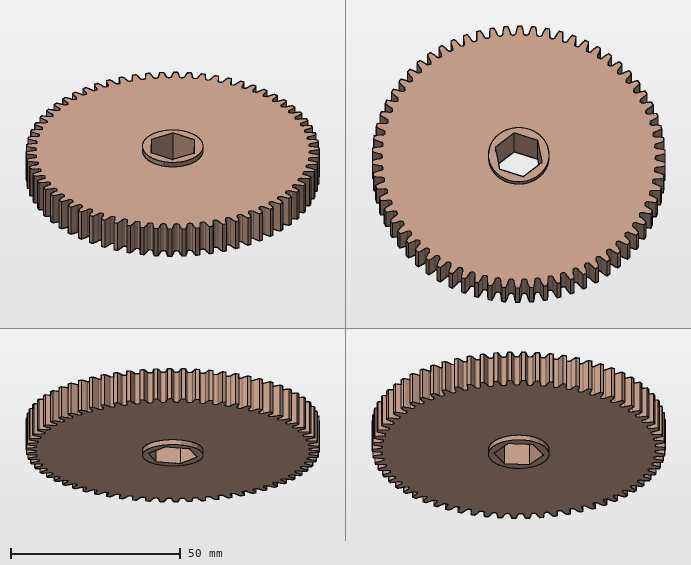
import cadquery as cq
import math

tooth_count = 66
outer_diameter = 86.4
pressure_angle = math.radians(14.5)
backlash = 0.1
module = outer_diameter / (tooth_count + 2)
pitch_radius = module * tooth_count / 2
base_radius = pitch_radius * math.cos(pressure_angle)
tip_radius = outer_diameter / 2
flank_start_radius = 40.9
flank_steps = 4

face_width = 9.5
hub_diameter = 17.9
hub_length = 12.6
hex_across_flats = 12.7

tooth_pitch_angle = 2 * math.pi / tooth_count
first_tooth_angle = math.pi / 2


def polar(radius, angle):
    """Cartesian point at a radius and angle."""
    return (radius * math.cos(angle), radius * math.sin(angle))


def involute(angle):
    """Roll-off angle of an involute at a given pressure angle."""
    return math.tan(angle) - angle


def flank_pressure_angle(radius):
    """Angle between the involute flank and the radial direction at a radius."""
    return math.acos(base_radius / radius)


def half_tooth_angle(radius):
    """Angle between the tooth centre line and its involute flank at a radius."""
    half_angle_at_pitch = tooth_pitch_angle / 4 - backlash / (2 * pitch_radius)
    return half_angle_at_pitch + involute(pressure_angle) - involute(flank_pressure_angle(radius))


def flank_point(radius, centre, side):
    """Point on a flank; side is -1 before and +1 after the tooth centre line."""
    return polar(radius, centre + side * half_tooth_angle(radius))


def flank_direction(radius, centre, side):
    """Outward unit vector along a flank."""
    return polar(1, centre + side * (half_tooth_angle(radius) - flank_pressure_angle(radius)))


def gear_outline():
    """Closed gear profile, drawn counter-clockwise tooth by tooth."""
    step = (tip_radius - flank_start_radius) / flank_steps
    radii = [flank_start_radius + i * step for i in range(flank_steps + 1)]
    outline = cq.Workplane("XY").workplane(offset=-face_width / 2)
    outline = outline.moveTo(*flank_point(flank_start_radius, first_tooth_angle, -1))
    for tooth in range(tooth_count):
        centre = first_tooth_angle + tooth * tooth_pitch_angle
        rising = [flank_point(r, centre, -1) for r in radii]
        rising_tangents = [flank_direction(r, centre, -1) for r in (radii[0], radii[-1])]
        falling = [flank_point(r, centre, 1) for r in reversed(radii)]
        outward = [flank_direction(r, centre, 1) for r in (radii[-1], radii[0])]
        falling_tangents = [(-x, -y) for x, y in outward]
        next_flank = flank_point(flank_start_radius, centre + tooth_pitch_angle, -1)
        outline = outline.spline(rising[1:], tangents=rising_tangents, includeCurrent=True)
        outline = outline.threePointArc(polar(tip_radius, centre), falling[0])
        outline = outline.spline(falling[1:], tangents=falling_tangents, includeCurrent=True)
        outline = outline.tangentArcPoint(next_flank, relative=False)
    return outline.close()


def hub():
    """Round hub standing proud of both gear faces by the same amount."""
    return cq.Workplane("XY").circle(hub_diameter / 2).extrude(hub_length / 2, both=True)


def hex_bore():
    """Through hexagon with two corners on the Y axis."""
    across_corners = hex_across_flats / math.cos(math.pi / 6)
    bore = cq.Workplane("XY").polygon(6, across_corners).extrude(hub_length / 2, both=True)
    return bore.rotate((0, 0, 0), (0, 0, 1), 90)


gear = gear_outline().extrude(face_width)
result = gear.union(hub()).cut(hex_bore())